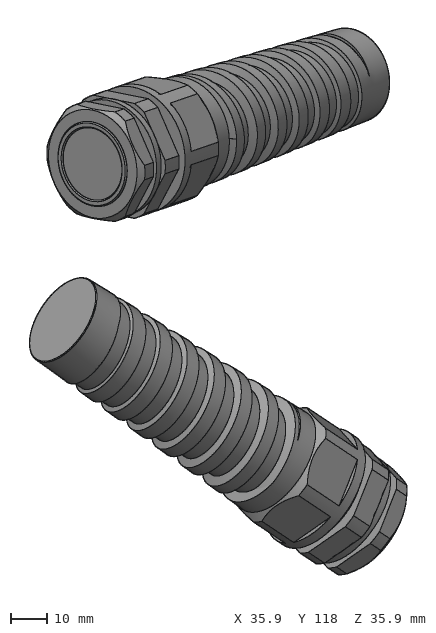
import cadquery as cq
import math

TOTAL_LENGTH = 118.0
CAP_FACE = 0.5
CAP_CHAMFER_END = 1.9
CAP_END = 5.9
STEM_END = 7.8
FLANGE_END = 9.9
BODY_HEX_END = 16.2
NECK_END = 18.9
NUT_FLANGE_END = 21.8
NUT_CHAMFER_START = 34.1
NUT_END = 36.1
COLLAR_END = 41.8
TIP_START = 108.9

SEAL_RING_DIAMETER = 24.0
SEAL_DIAMETER = 20.4
SEAL_RECESS = 0.5
SEAL_RING_CHAMFER = 0.4
CAP_FACE_DIAMETER = 30.7
CAP_DIAMETER = 34.0
CAP_FLATS = 31.3
STEM_DIAMETER = 24.0
FLANGE_DIAMETER = 33.0
BODY_DIAMETER = 35.9
BODY_FLATS = 32.8
NECK_DIAMETER = 27.6
SLEEVE_CORE_DIAMETER = 25.5
SLEEVE_BASE_DIAMETER = 32.0
SLEEVE_TIP_DIAMETER = 26.5
TIP_CHAMFER = 0.2

RIB_TURNS = 8
RIB_ADVANCE = 80.0
RIB_PITCH = RIB_ADVANCE / RIB_TURNS
RIB_START = 36.9
RIB_ROOT_WIDTH = 5.3
RIB_FLANK_ANGLE = 15.0
RIB_OVERLAP = 0.6
RIB_INNER = SLEEVE_CORE_DIAMETER / 2 - RIB_OVERLAP
RIB_OUTER = SLEEVE_BASE_DIAMETER / 2 + RIB_OVERLAP
FLANK_SLOPE = math.tan(math.radians(RIB_FLANK_ANGLE))

RUNOUT_PITCH = 5.9
RUNOUT_ANGLE = 200.0
RUNOUT_END = 44.2
RUNOUT_DEPTH = 3.5


def cone(start, end, start_diameter, end_diameter):
    """Solid of revolution about the axis between two stations."""
    profile = [(0, start), (start_diameter / 2, start), (end_diameter / 2, end), (0, end)]
    return cq.Workplane("XZ").polyline(profile).close().revolve(360, (0, 0), (0, 1))


def cylinder(start, end, diameter):
    return cone(start, end, diameter, diameter)


def hexagon(start, end, across_flats):
    """Hexagonal prism with two opposite corners on the X axis."""
    across_corners = across_flats / math.cos(math.pi / 6)
    return cq.Workplane("XY").workplane(offset=start).polygon(6, across_corners).extrude(end - start)


def locknut():
    blank = cylinder(CAP_CHAMFER_END, CAP_END, CAP_DIAMETER)
    blank = blank.union(cone(CAP_FACE, CAP_CHAMFER_END, CAP_FACE_DIAMETER, CAP_DIAMETER))
    return blank.intersect(hexagon(CAP_FACE, CAP_END, CAP_FLATS))


def seal_ring():
    """Low ring standing out of the locknut face, with bevelled edges."""
    ring = cylinder(0, CAP_END, SEAL_RING_DIAMETER)
    recess = cylinder(0, SEAL_RECESS, SEAL_DIAMETER)
    return ring.cut(recess).faces("<Z").edges().chamfer(SEAL_RING_CHAMFER)


def gland_body():
    body_hex = hexagon(FLANGE_END, BODY_HEX_END, BODY_FLATS)
    body_hex = body_hex.intersect(cylinder(FLANGE_END, BODY_HEX_END, BODY_DIAMETER))
    return (
        cylinder(CAP_END, STEM_END, STEM_DIAMETER)
        .union(cylinder(STEM_END, FLANGE_END, FLANGE_DIAMETER))
        .union(body_hex)
        .union(cylinder(BODY_HEX_END, NECK_END, NECK_DIAMETER))
    )


def dome_nut():
    flange = cylinder(NECK_END, NUT_FLANGE_END, BODY_DIAMETER)
    blank = cylinder(NUT_FLANGE_END, NUT_CHAMFER_START, BODY_DIAMETER)
    blank = blank.union(cone(NUT_CHAMFER_START, NUT_END, BODY_DIAMETER, SLEEVE_BASE_DIAMETER))
    return flange.union(blank.intersect(hexagon(NUT_FLANGE_END, NUT_END, BODY_FLATS)))


def helical_bar(section, pitch, turns):
    """Sweep a (radius, height) section along a helix that begins on the +X side."""
    helix = cq.Wire.makeHelix(pitch, pitch * turns, section[0][0])
    return cq.Workplane("XZ").polyline(section).close().sweep(cq.Workplane(helix), isFrenet=True)


def rib_turn(start):
    """One turn of the helical rib, with sloping flanks and taller than the sleeve surface."""
    inner_half = RIB_ROOT_WIDTH / 2 + RIB_OVERLAP * FLANK_SLOPE
    outer_half = inner_half - (RIB_OUTER - RIB_INNER) * FLANK_SLOPE
    section = [
        (RIB_INNER, -inner_half),
        (RIB_OUTER, -outer_half),
        (RIB_OUTER, outer_half),
        (RIB_INNER, inner_half),
    ]
    return helical_bar(section, RIB_PITCH, 1).translate((0, 0, start))


def runout_groove():
    """Narrowing gap between the collar and the first turn of the rib, ending on the +X side."""
    flank_rise = (RIB_OUTER - RIB_INNER) * FLANK_SLOPE
    section = [
        (RIB_INNER, -RUNOUT_DEPTH),
        (RIB_OUTER, -RUNOUT_DEPTH),
        (RIB_OUTER, flank_rise),
        (RIB_INNER, 0),
    ]
    groove = helical_bar(section, RUNOUT_PITCH, RUNOUT_ANGLE / 360)
    groove = groove.rotate((0, 0, 0), (0, 0, 1), -RUNOUT_ANGLE)
    return groove.translate((0, 0, RUNOUT_END - RUNOUT_PITCH * RUNOUT_ANGLE / 360))


def sleeve():
    """Tapered sleeve: plain collar and tip, with a spiral rib on a round core between them."""
    envelope = cone(NUT_END, TOTAL_LENGTH, SLEEVE_BASE_DIAMETER, SLEEVE_TIP_DIAMETER)
    envelope = envelope.faces(">Z").edges().chamfer(TIP_CHAMFER)
    ribbed_zone = cylinder(COLLAR_END, TIP_START, BODY_DIAMETER)
    ribbed_zone = ribbed_zone.cut(cylinder(COLLAR_END, TIP_START, SLEEVE_CORE_DIAMETER))
    waste = ribbed_zone
    for turn in range(RIB_TURNS):
        waste = waste.cut(rib_turn(RIB_START + turn * RIB_PITCH))
    runout = runout_groove().intersect(ribbed_zone)
    return envelope.cut(waste).cut(runout)


gland = locknut().union(seal_ring()).union(gland_body()).union(dome_nut()).union(sleeve())
result = gland.rotate((0, 0, 0), (1, 0, 0), -90)